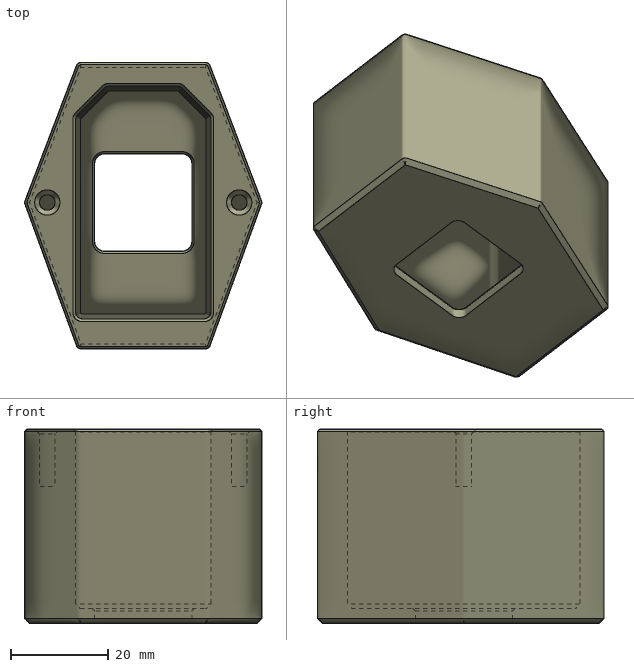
import cadquery as cq

body_height = 40.0
body_length = 59.0
body_point_half_width = 24.5
body_end_half_width = 13.5
body_front_y = -30.15
body_back_y = body_front_y + body_length
body_corner_radius = 1.0
body_bottom_chamfer = 1.0

rim_chamfer = 0.5

pocket_half_width = 13.9
pocket_half_length = 23.95
pocket_corner_cut = 6.3
pocket_corner_radius = 1.4
pocket_floor_chamfer = 1.0
pocket_mouth_chamfer = 0.6
floor_thickness = 3.0

window_size = 20.0
window_corner_radius = 2.0

screw_hole_diameter = 3.2
screw_hole_depth = 11.8
screw_head_diameter = 5.2
screw_head_angle = 90
screw_half_spacing = 19.75


def make_block():
    """Hexagonal block with rounded upright edges and chamfered top and bottom rims."""
    outline = [
        (body_end_half_width, body_front_y),
        (body_point_half_width, 0),
        (body_end_half_width, body_back_y),
        (-body_end_half_width, body_back_y),
        (-body_point_half_width, 0),
        (-body_end_half_width, body_front_y),
    ]
    block = cq.Workplane("XY").polyline(outline).close().extrude(body_height)
    block = block.edges("|Z").fillet(body_corner_radius)
    block = block.faces("<Z").chamfer(body_bottom_chamfer)
    return block.faces(">Z").chamfer(rim_chamfer)


def cut_pocket(body):
    """Hollow out the block, with a chamfer along the floor and another at the mouth."""
    cut_x = pocket_half_width - pocket_corner_cut
    cut_y = pocket_half_length - pocket_corner_cut
    outline = [
        (pocket_half_width, -pocket_half_length),
        (pocket_half_width, cut_y),
        (cut_x, pocket_half_length),
        (-cut_x, pocket_half_length),
        (-pocket_half_width, cut_y),
        (-pocket_half_width, -pocket_half_length),
    ]
    pocket = cq.Workplane("XY", origin=(0, 0, floor_thickness))
    pocket = pocket.polyline(outline).close().extrude(body_height - floor_thickness)
    pocket = pocket.edges("|Z").fillet(pocket_corner_radius)
    pocket = pocket.faces("<Z").chamfer(pocket_floor_chamfer)
    body = body.cut(pocket)
    mouth = body.faces(">Z").val().innerWires()[0]
    return body.newObject(mouth.Edges()).chamfer(pocket_mouth_chamfer)


def cut_window(body):
    """Cut the rounded window through the floor and chamfer its upper rim."""
    window = cq.Workplane("XY").rect(window_size, window_size).extrude(floor_thickness)
    window = window.edges("|Z").fillet(window_corner_radius)
    body = body.cut(window)
    reach = window_size / 2 + rim_chamfer
    rim_region = cq.selectors.BoxSelector(
        (-reach, -reach, floor_thickness - rim_chamfer),
        (reach, reach, floor_thickness + rim_chamfer),
    )
    return body.edges(rim_region).chamfer(rim_chamfer)


def cut_screw_holes(body):
    """Drill one countersunk hole beside each side point."""
    top = cq.Workplane("XY", origin=(0, 0, body_height))
    centres = [(-screw_half_spacing, 0), (screw_half_spacing, 0)]
    return body.copyWorkplane(top).pushPoints(centres).cskHole(
        screw_hole_diameter, screw_head_diameter, screw_head_angle, screw_hole_depth
    )


result = make_block()
result = cut_pocket(result)
result = cut_window(result)
result = cut_screw_holes(result)